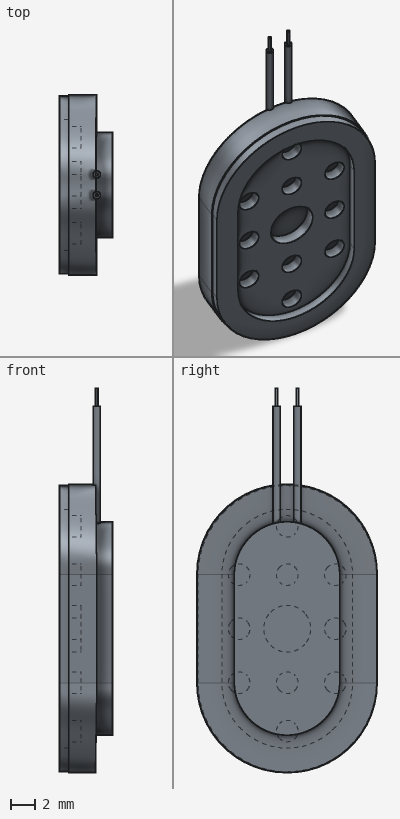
import cadquery as cq

straight_length = 9.0
body_width = 15.0
rim_step = 0.1
recess_radius = 5.45
boss_radius = 4.4
rim_depth = 0.77
back_x = 3.1
end_drop = 0.1
total_thickness = 4.4
total_height = 32.0

hole_diameter = 1.8
center_hole_diameter = 3.9
hole_depth = 1.0
hole_side_offset = 4.0
end_hole_offset = 8.5

wire_spacing = 1.73
insulation_diameter = 0.6
core_diameter = 0.227
bare_length = 1.5

arc_offset = straight_length / 2
body_radius = body_width / 2
rim_radius = body_radius - rim_step
body_end = arc_offset + body_radius
wire_top = total_height - body_end


def oval(radius, start_x, end_x):
    """Upright oval plate between two X positions."""
    length = 2 * (arc_offset + radius)
    return (
        cq.Workplane("YZ", origin=(start_x, 0, 0))
        .slot2D(length, 2 * radius, 90)
        .extrude(end_x - start_x)
    )


def body():
    """Oval body whose back face slopes forward from each arc centre to the tip."""
    profile = (
        cq.Workplane("XZ")
        .polyline([
            (rim_depth, -body_end),
            (back_x - end_drop, -body_end),
            (back_x, -arc_offset),
            (back_x, arc_offset),
            (back_x - end_drop, body_end),
            (rim_depth, body_end),
        ])
        .close()
        .extrude(body_radius, both=True)
    )
    return oval(body_radius, rim_depth, back_x).intersect(profile)


def rim():
    """Front ring around the recess."""
    return oval(rim_radius, 0, rim_depth).cut(oval(recess_radius, 0, rim_depth))


def blind_holes(points, diameter):
    """Round blind holes sunk from the recess floor."""
    return (
        cq.Workplane("YZ", origin=(rim_depth, 0, 0))
        .pushPoints(points)
        .circle(diameter / 2)
        .extrude(hole_depth)
    )


def wire(y):
    """Insulated lead with a bare core, rising from inside the boss."""
    insulation_top = wire_top - bare_length
    base = cq.Workplane("XY", origin=(back_x, y, arc_offset))
    insulation = base.circle(insulation_diameter / 2).extrude(insulation_top - arc_offset)
    core = base.circle(core_diameter / 2).extrude(wire_top - arc_offset)
    return insulation.union(core)


side_holes = [
    (y, z)
    for y in (-hole_side_offset, hole_side_offset)
    for z in (-arc_offset, 0, arc_offset)
]
middle_holes = [(0, z) for z in (-end_hole_offset, -arc_offset, arc_offset, end_hole_offset)]

result = body().union(rim()).union(oval(boss_radius, back_x - end_drop, total_thickness))
result = result.cut(blind_holes(side_holes + middle_holes, hole_diameter))
result = result.cut(blind_holes([(0, 0)], center_hole_diameter))
for wire_y in (-wire_spacing / 2, wire_spacing / 2):
    result = result.union(wire(wire_y))